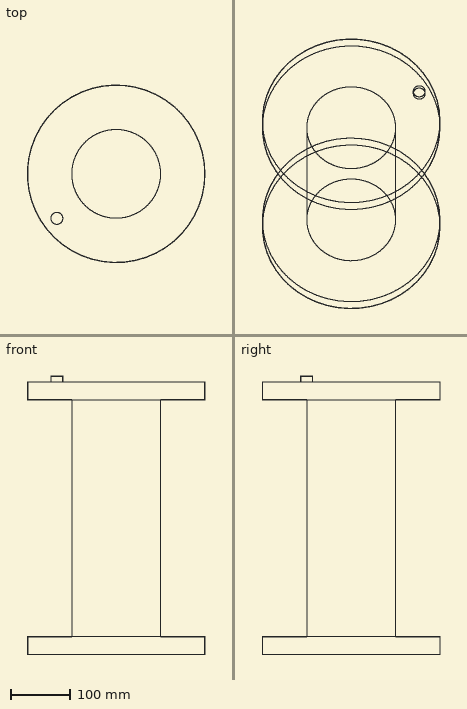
import cadquery as cq

total_height = 470.0
flange_diameter = 300.0
flange_thickness = 30.0
barrel_diameter = flange_diameter / 2
pin_diameter = 20.0
pin_height = 10.0
pin_x = -100.0
pin_y = -75.0

spool_height = total_height - pin_height
barrel_length = spool_height - 2 * flange_thickness


def make_disc(diameter, height, base_z):
    """Upright cylinder on the Z axis, standing on base_z."""
    return cq.Workplane("XY").workplane(offset=base_z).circle(diameter / 2).extrude(height)


def make_spool():
    """Barrel with an equal flange at each end, as one solid."""
    spool = make_disc(barrel_diameter, barrel_length, flange_thickness)
    for base_z in (0, spool_height - flange_thickness):
        spool = spool.union(make_disc(flange_diameter, flange_thickness, base_z))
    return spool


def make_drive_pin():
    """Off-centre pin standing on the upper flange."""
    return make_disc(pin_diameter, pin_height, spool_height).translate((pin_x, pin_y, 0))


spool = make_spool()
drive_pin = make_drive_pin()

result = cq.Compound.makeCompound([spool.val(), drive_pin.val()])